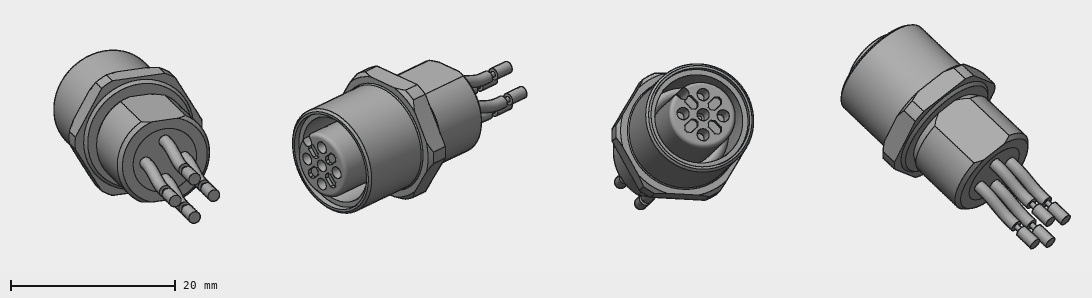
import cadquery as cq
import math


carrier_dia = 8.23
carrier_edge_radius = 0.48
contact_offset = 2.5
contact_hole_dia = 1.5
contact_floor_dia = 1.15
center_floor_dia = 0.7
contact_hole_depth = 1.93
center_cone_depth = 0.23
key_width = 1.4
key_offset = 2.48
key_length = 3.85
key_angle = 45
slot_width = 1.15
slot_inner_end = 1.13
slot_outer_end = 3.02
slot_depth = 0.5
slot_corner_chamfer = 0.35

shell_dia = 13.5
shell_front = 1.48
shell_end = 10.32
shell_chamfer = 0.3
rim_bore_dia = 12.3
rim_bore_depth = 0.8
shell_bore_dia = 11.0
bore_floor = 10.3

hex_flats = 15.0
hex_corner_dia = 16.5
hex_front = 10.48
hex_back = 13.02
hex_chamfer = 0.48
flange_dia = 14.27
flange_back = 13.4

sleeve_dia = 12.0
sleeve_neck_dia = 10.85
sleeve_neck_end = 14.45
sleeve_back = 22.0
sleeve_chamfer = 0.48
sleeve_flats = 10.5

wire_dia = 1.5
conductor_dia = 0.7
wire_bend_start = 22.57
wire_bend_end = 28.1
wire_drop = 1.2
conductor_start = 28.75
conductor_end = 29.65
total_length = 32.15

seal_section_dia = (shell_bore_dia - carrier_dia) / 2
seal_center_radius = (shell_bore_dia + carrier_dia) / 4

outer_contact_places = [
    (contact_offset, 0),
    (-contact_offset, 0),
    (0, contact_offset),
    (0, -contact_offset),
]


def rod(diameter, start, end, y=0.0, z=0.0):
    """Cylinder along X from start to end, centred at (y, z)."""
    plane = cq.Workplane("YZ", origin=(start, y, z))
    return plane.circle(diameter / 2).extrude(end - start)


def cone(start_dia, end_dia, start, end, y=0.0, z=0.0):
    """Truncated cone along X, centred at (y, z)."""
    solid = cq.Solid.makeCone(
        start_dia / 2, end_dia / 2, end - start, cq.Vector(start, y, z), cq.Vector(1, 0, 0)
    )
    return cq.Workplane(obj=solid)


def make_shell():
    """Front tube with a chamfered rim, flaring slightly where it meets the collar."""
    tube = rod(shell_dia, shell_front, shell_end).faces("<X").chamfer(shell_chamfer)
    flare_dia = shell_dia + 2 * (hex_front - shell_end)
    return tube.union(cone(shell_dia, flare_dia, shell_end, hex_front))


def make_collar():
    """Hexagon with rounded corners and a conical front chamfer, backed by a tapered flange."""
    corner_to_corner = hex_flats / math.cos(math.pi / 6)
    hexagon = (
        cq.Workplane("YZ", origin=(hex_front, 0, 0))
        .polygon(6, corner_to_corner)
        .extrude(hex_back - hex_front)
    )
    blank = rod(hex_corner_dia, hex_front, hex_back).faces("<X").chamfer(hex_chamfer)
    flange_back_dia = flange_dia - 2 * (flange_back - hex_back)
    flange = cone(flange_dia, flange_back_dia, hex_back, flange_back)
    return hexagon.intersect(blank).union(flange)


def make_sleeve():
    """Rear barrel with a conical neck, a rear chamfer and flats on its top and bottom."""
    neck = cone(sleeve_neck_dia, sleeve_dia, flange_back, sleeve_neck_end)
    barrel = rod(sleeve_dia, sleeve_neck_end, sleeve_back).faces(">X").chamfer(sleeve_chamfer)
    slab_length = sleeve_back - flange_back
    slab = cq.Workplane(origin=(flange_back + slab_length / 2, 0, 0))
    return neck.union(barrel).intersect(slab.box(slab_length, sleeve_dia, sleeve_flats))


def make_housing():
    """Shell, collar and sleeve in one piece, bored in three steps."""
    housing = make_shell().union(make_collar()).union(make_sleeve())
    housing = housing.cut(rod(rim_bore_dia, shell_front, shell_front + rim_bore_depth))
    housing = housing.cut(rod(shell_bore_dia, shell_front, bore_floor))
    return housing.cut(rod(carrier_dia, bore_floor, sleeve_back))


def turn_about_axis(body, angle):
    """Turn a body lying along +Y about the X axis, from +Y toward +Z."""
    return body.rotate((0, 0, 0), (1, 0, 0), angle)


def make_slot_cutter(angle):
    """Shallow radial slot with chamfered corners, cut into the mating face."""
    slot = (
        cq.Workplane("YZ")
        .center((slot_inner_end + slot_outer_end) / 2, 0)
        .rect(slot_outer_end - slot_inner_end, slot_width)
        .extrude(slot_depth)
        .edges("|X")
        .chamfer(slot_corner_chamfer)
    )
    return turn_about_axis(slot, angle)


def make_key_cutter():
    """Round-bottomed key groove that opens through the side of the carrier."""
    inner_end = math.hypot(key_offset, key_offset) - key_width / 2
    outer_end = carrier_dia / 2 + key_width
    groove = (
        cq.Workplane("YZ")
        .center((inner_end + outer_end) / 2, 0)
        .slot2D(outer_end - inner_end, key_width)
        .extrude(key_length)
    )
    return turn_about_axis(groove, key_angle)


def make_wire(y, z):
    """Wire that steps down in an S-bend, with a bared conductor before its end piece."""
    path = (
        cq.Workplane("XZ", origin=(0, y, 0))
        .moveTo(wire_bend_start, z)
        .spline([(wire_bend_end, z - wire_drop)], tangents=[(1, 0), (1, 0)], includeCurrent=True)
    )
    bend_profile = cq.Workplane("YZ", origin=(wire_bend_start, y, z)).circle(wire_dia / 2)
    bend = bend_profile.sweep(path)
    end_z = z - wire_drop
    return (
        rod(wire_dia, sleeve_back, wire_bend_start, y, z)
        .union(bend)
        .union(rod(wire_dia, wire_bend_end, conductor_start, y, end_z))
        .union(rod(conductor_dia, conductor_start, conductor_end, y, end_z))
        .union(rod(wire_dia, conductor_end, total_length, y, end_z))
    )


def make_carrier():
    """Contact carrier with tapered contact holes, four slots, a key groove and four wires."""
    carrier = rod(carrier_dia, 0, sleeve_back).faces("<X").edges().fillet(carrier_edge_radius)
    for y, z in [(0, 0), *outer_contact_places]:
        carrier = carrier.cut(cone(contact_hole_dia, contact_floor_dia, 0, contact_hole_depth, y, z))
    center_cone_end = contact_hole_depth + center_cone_depth
    carrier = carrier.cut(cone(contact_floor_dia, center_floor_dia, contact_hole_depth, center_cone_end))
    for angle in (45, 135, 225, 315):
        carrier = carrier.cut(make_slot_cutter(angle))
    carrier = carrier.cut(make_key_cutter())
    for y, z in outer_contact_places:
        carrier = carrier.union(make_wire(y, z))
    return carrier


def make_seal():
    """Round-section ring resting on the floor of the shell bore."""
    ring_x = bore_floor - seal_section_dia / 2
    ring = cq.Solid.makeTorus(
        seal_center_radius, seal_section_dia / 2, cq.Vector(ring_x, 0, 0), cq.Vector(1, 0, 0)
    )
    return cq.Workplane(obj=ring)


housing = make_housing()
carrier = make_carrier()
seal = make_seal()

result = cq.Compound.makeCompound([housing.val(), carrier.val(), seal.val()])